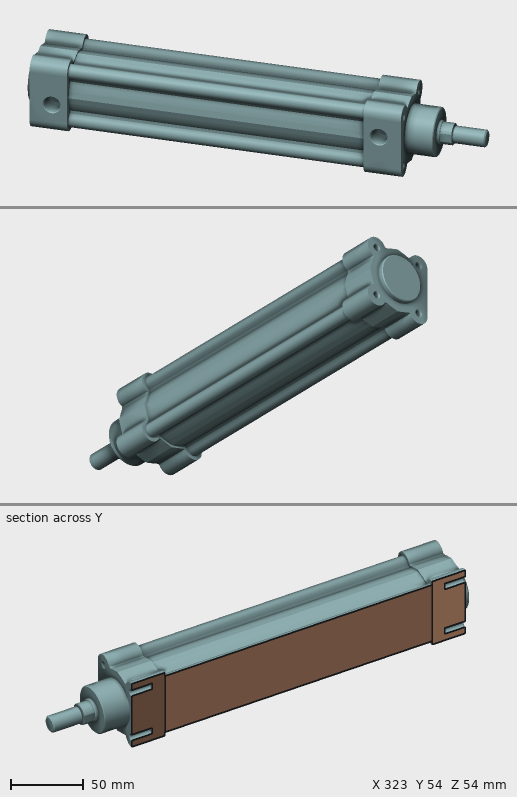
import cadquery as cq
import math


total_length = 323.0
cap_length = 26.8
rear_cap_start = 4.2
rear_cap_end = rear_cap_start + cap_length
front_cap_end = 269.0
front_cap_start = front_cap_end - cap_length
front_boss_end = 289.0
collar_end = 291.5
thread_length = 23.5
rod_shoulder = total_length - thread_length

cap_width = 54.0
cap_lobe_radius = 8.0
lobe_offset = cap_width / 2 - cap_lobe_radius
cap_flat_height = 22.0
cap_bulge_radius = 24.0
cap_roof_half_width = 6.5

barrel_lobe_radius = 5.2
barrel_lobe_foot = 15.2
barrel_step_offset = 13.2
barrel_step_height = 20.5
barrel_bulge_foot = 11.3
barrel_bulge_radius = 22.5
barrel_roof_half_width = 4.5

boss_radius = 17.5
collar_radius = 8.7
port_mouth_radius = 6.5
port_depth = 14.5
port_inset = 15.8
port_height = 5.0
bolt_mouth_radius = 3.0
bolt_hole_depth = 16.0
edge_chamfer = 0.5

rod_radius = 7.8
flat_offset = 7.0
thread_radius = 6.0
thread_chamfer = 1.0

FRONT_SIDE = 1


def turn(point, quarter):
    """Rotate a (y, z) point about the axis by a number of quarter turns."""
    y, z = point
    for _ in range(quarter):
        y, z = -z, y
    return (y, z)


def on_circle(radius, offset):
    """Height of a circle around the axis at a sideways offset."""
    return math.sqrt(radius**2 - offset**2)


def section(lobe_radius, foot, bulge_radius, roof_half_width, flat_side=None):
    """Closed outline with four corner lobes and a ridged bulge in each side.

    `foot` lists the (offset, height) points from the lobe in to the bulge.
    The side numbered `flat_side` is a plain flat tangent to its two lobes.
    """
    roof_foot = (roof_half_width, on_circle(bulge_radius, roof_half_width))
    ridge = (0, bulge_radius**2 / roof_foot[1])
    bulge_mid_offset = (foot[-1][0] + roof_half_width) / 2
    bulge_mid = (bulge_mid_offset, on_circle(bulge_radius, bulge_mid_offset))
    lobe_reach = lobe_offset + lobe_radius * math.sqrt(0.5)
    tangent = (lobe_offset, lobe_offset + lobe_radius)

    def mirrored(point):
        return (-point[0], point[1])

    def side_start(side):
        return turn(tangent if side == flat_side else foot[0], side)

    outline = cq.Workplane("YZ").moveTo(*side_start(0))
    for side in range(4):
        if side == flat_side:
            outline = outline.lineTo(*turn(mirrored(tangent), side))
        else:
            for point in foot[1:]:
                outline = outline.lineTo(*turn(point, side))
            outline = outline.threePointArc(turn(bulge_mid, side), turn(roof_foot, side))
            outline = outline.lineTo(*turn(ridge, side))
            outline = outline.lineTo(*turn(mirrored(roof_foot), side))
            outline = outline.threePointArc(
                turn(mirrored(bulge_mid), side), turn(mirrored(foot[-1]), side)
            )
            for point in reversed(foot[:-1]):
                outline = outline.lineTo(*turn(mirrored(point), side))
        lobe_mid = turn((-lobe_reach, lobe_reach), side)
        outline = outline.threePointArc(lobe_mid, side_start((side + 1) % 4))
    return outline.close()


def rod_section(radius, start, end):
    """Cylinder on the axis between two X positions."""
    return cq.Workplane("YZ", origin=(start, 0, 0)).circle(radius).extrude(end - start)


def chamfered_hole(mouth_radius, depth, mouth, direction):
    """Cutter for a blind hole whose chamfered mouth is centred at a point."""
    point = cq.Vector(*mouth)
    inward = cq.Vector(*direction)
    bore_radius = mouth_radius - edge_chamfer
    bore = cq.Solid.makeCylinder(bore_radius, depth, point, inward)
    countersink = cq.Solid.makeCone(mouth_radius, bore_radius, edge_chamfer, point, inward)
    return bore.fuse(countersink)


def cut_port(cap, x, z):
    """Cut a blind port into the flat -Y side of a cap."""
    mouth = (x, -cap_width / 2, z)
    return cap.cut(cq.Workplane(chamfered_hole(port_mouth_radius, port_depth, mouth, (0, 1, 0))))


def cut_bolt_holes(cap, face_x, inward):
    """Cut a blind hole into each lobe from an end face; inward is +1 or -1 along X."""
    for y in (-lobe_offset, lobe_offset):
        for z in (-lobe_offset, lobe_offset):
            hole = chamfered_hole(bolt_mouth_radius, bolt_hole_depth, (face_x, y, z), (inward, 0, 0))
            cap = cap.cut(cq.Workplane(hole))
    return cap


def cap_block(start):
    """Cap without its boss, ports and holes."""
    lobe_foot = lobe_offset - math.sqrt(cap_lobe_radius**2 - (cap_flat_height - lobe_offset) ** 2)
    bulge_foot = on_circle(cap_bulge_radius, cap_flat_height)
    foot = [(lobe_foot, cap_flat_height), (bulge_foot, cap_flat_height)]
    outline = section(cap_lobe_radius, foot, cap_bulge_radius, cap_roof_half_width, FRONT_SIDE)
    return outline.extrude(cap_length).translate((start, 0, 0))


def make_rear_cap():
    cap = cap_block(rear_cap_start)
    boss = rod_section(boss_radius, 0, rear_cap_start).edges("<X").chamfer(edge_chamfer)
    cap = cut_bolt_holes(cap.union(boss), rear_cap_start, 1)
    return cut_port(cap, rear_cap_start + port_inset, -port_height)


def make_barrel():
    lobe_foot_height = lobe_offset + math.sqrt(
        barrel_lobe_radius**2 - (lobe_offset - barrel_lobe_foot) ** 2
    )
    foot = [
        (barrel_lobe_foot, lobe_foot_height),
        (barrel_step_offset, barrel_step_height),
        (barrel_bulge_foot, on_circle(barrel_bulge_radius, barrel_bulge_foot)),
    ]
    outline = section(barrel_lobe_radius, foot, barrel_bulge_radius, barrel_roof_half_width)
    return outline.extrude(front_cap_start - rear_cap_end).translate((rear_cap_end, 0, 0))


def make_front_cap():
    cap = cap_block(front_cap_start)
    boss = rod_section(boss_radius, front_cap_end, front_boss_end).edges(">X").chamfer(edge_chamfer)
    collar = rod_section(collar_radius, front_boss_end, collar_end).edges(">X").chamfer(edge_chamfer)
    cap = cut_bolt_holes(cap.union(boss).union(collar), front_cap_end, -1)
    cap = cut_port(cap, front_cap_end - port_inset, port_height)
    return cap.cut(rod_section(rod_radius, front_cap_start, collar_end))


def make_piston_rod():
    """Rod from the barrel out through the front cap, with wrench flats and a thread."""
    rod = rod_section(rod_radius, front_cap_start, rod_shoulder)
    flats_length = rod_shoulder - collar_end
    for side in (-1, 1):
        waste_centre = (collar_end + flats_length / 2, side * (flat_offset + rod_radius / 2), 0)
        waste = cq.Workplane(origin=waste_centre).box(flats_length, rod_radius, 2 * rod_radius)
        rod = rod.cut(waste)
    thread = rod_section(thread_radius, rod_shoulder, total_length)
    thread = thread.edges("%CIRCLE").chamfer(thread_chamfer)
    return rod.union(thread)


rear_cap = make_rear_cap()
barrel = make_barrel()
front_cap = make_front_cap()
piston_rod = make_piston_rod()

result = cq.Compound.makeCompound(
    [rear_cap.val(), barrel.val(), front_cap.val(), piston_rod.val()]
)